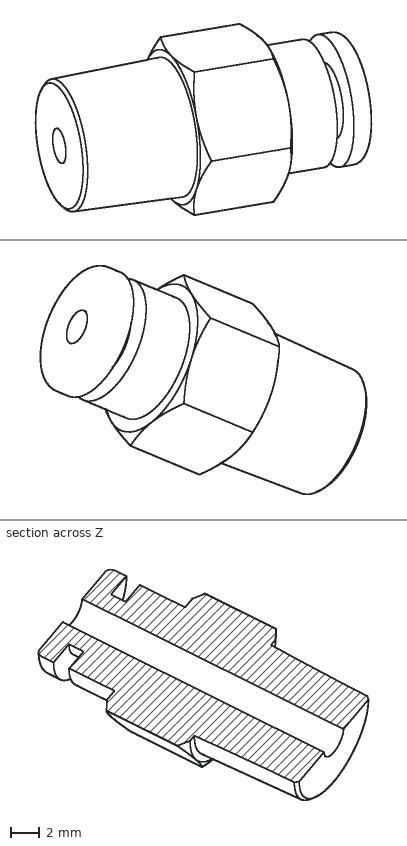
import cadquery as cq
import math


thread_length = 8.5
hex_length = 7.0
body_length = 3.8
neck_length = 1.2
collar_length = 1.5

thread_base_diameter = 10.0
thread_tip_diameter = 9.5
body_diameter = 9.2
neck_diameter = 5.5
collar_diameter = 9.5
bore_diameter = 2.5

across_flats = 11.11
hex_sides = 6
across_corners = across_flats / math.cos(math.pi / hex_sides)
hex_chamfer_angle = 30.0

thread_chamfer = 0.25
collar_fillet = 0.5

hex_start = thread_length
hex_end = hex_start + hex_length
body_end = hex_end + body_length
neck_end = body_end + neck_length
total_length = neck_end + collar_length


def revolve_about_y(points):
    """Revolve a closed outline of (radius, y) points about the Y axis."""
    return cq.Workplane("ZY").polyline(points).close().revolve(360, (0, 0, 0), (0, 1, 0))


def cylinder(diameter, start, end):
    """Solid cylinder on the Y axis between two stations."""
    radius = diameter / 2
    return revolve_about_y([(0, start), (radius, start), (radius, end), (0, end)])


def make_thread():
    """Tapered thread envelope with a chamfered tip."""
    base_radius = thread_base_diameter / 2
    tip_radius = thread_tip_diameter / 2
    return revolve_about_y([
        (0, 0),
        (tip_radius - thread_chamfer, 0),
        (tip_radius, thread_chamfer),
        (base_radius, thread_length),
        (0, thread_length),
    ])


def make_hexagon():
    """Hexagonal prism whose corners are turned down by a cone at both ends."""
    prism = (
        cq.Workplane("XZ", origin=(0, hex_end, 0))
        .polygon(hex_sides, across_corners)
        .extrude(hex_length)
    )
    flat_radius = across_flats / 2
    corner_radius = across_corners / 2
    chamfer_depth = (corner_radius - flat_radius) * math.tan(math.radians(hex_chamfer_angle))
    envelope = revolve_about_y([
        (0, hex_start),
        (flat_radius, hex_start),
        (corner_radius, hex_start + chamfer_depth),
        (corner_radius, hex_end - chamfer_depth),
        (flat_radius, hex_end),
        (0, hex_end),
    ])
    return prism.intersect(envelope)


def make_collar():
    """Release collar with a rounded outer rim."""
    disc = cylinder(collar_diameter, neck_end, total_length)
    return disc.faces(">Y").edges().fillet(collar_fillet)


body = cylinder(body_diameter, hex_end, body_end)
neck = cylinder(neck_diameter, body_end, neck_end)
bore = cylinder(bore_diameter, 0, total_length)

result = make_thread().union(make_hexagon()).union(body).union(neck).union(make_collar()).cut(bore)